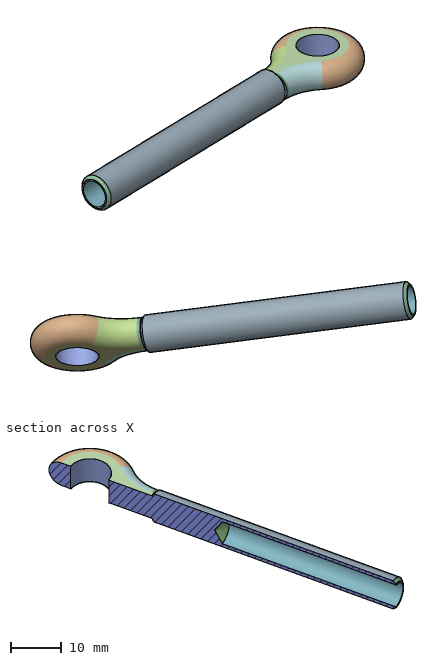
import cadquery as cq
import math

total_length = 78.0
eye_diameter = 18.5
eye_hole_diameter = 8.5
eye_thickness = 6.0
neck_width = 7.65
neck_blend_radius = 10.0

shank_diameter = 7.5
shank_start_y = -14.05
shank_top_chamfer = 0.5
shank_end_chamfer = 0.6

bore_diameter = 5.6
bore_depth = 39.0
drill_point_angle = 118.0

eye_radius = eye_diameter / 2
edge_radius = eye_thickness / 2
shank_end_y = eye_radius - total_length
shank_length = shank_start_y - shank_end_y

flat_radius = eye_radius - edge_radius
flat_neck = neck_width / 2 - edge_radius
flat_blend_radius = neck_blend_radius + edge_radius

blend_x = flat_neck + flat_blend_radius
blend_y = -math.sqrt((flat_radius + flat_blend_radius) ** 2 - blend_x**2)
blend_angle = math.atan2(-blend_y, blend_x)


def flat_border():
    """Border of the flat face, from the right neck end around the eye to the left one."""
    tangent_x = flat_radius * math.cos(blend_angle)
    tangent_y = -flat_radius * math.sin(blend_angle)
    middle_x = blend_x - flat_blend_radius * math.cos(blend_angle / 2)
    middle_y = blend_y + flat_blend_radius * math.sin(blend_angle / 2)
    return (
        cq.Workplane("XY")
        .moveTo(flat_neck, shank_start_y)
        .lineTo(flat_neck, blend_y)
        .threePointArc((middle_x, middle_y), (tangent_x, tangent_y))
        .threePointArc((0, flat_radius), (-tangent_x, tangent_y))
        .threePointArc((-middle_x, middle_y), (-flat_neck, blend_y))
        .lineTo(-flat_neck, shank_start_y)
    )


def make_eye():
    """Flat eye and neck with a round bar along the border as its half-round rim."""
    plate = flat_border().close().extrude(edge_radius, both=True)
    rim = (
        cq.Workplane("XZ", origin=(flat_neck, shank_start_y, 0))
        .circle(edge_radius)
        .sweep(flat_border())
    )
    hole = cq.Workplane("XY").circle(eye_hole_diameter / 2).extrude(edge_radius, both=True)
    return plate.union(rim).cut(hole)


def make_shank():
    """Round shank, chamfered at both ends."""
    return (
        cq.Workplane("XZ", origin=(0, shank_start_y, 0))
        .circle(shank_diameter / 2)
        .extrude(shank_length)
        .faces(">Y")
        .chamfer(shank_top_chamfer)
        .faces("<Y")
        .chamfer(shank_end_chamfer)
    )


def make_bore():
    """Blind drilled bore with a conical bottom, opening at the free end."""
    bore_radius = bore_diameter / 2
    wall_end_y = shank_end_y + bore_depth
    point_length = bore_radius / math.tan(math.radians(drill_point_angle / 2))
    return (
        cq.Workplane("XY")
        .moveTo(0, shank_end_y)
        .lineTo(bore_radius, shank_end_y)
        .lineTo(bore_radius, wall_end_y)
        .lineTo(0, wall_end_y + point_length)
        .close()
        .revolve(360, (0, 0, 0), (0, 1, 0))
    )


result = make_eye().union(make_shank()).cut(make_bore())